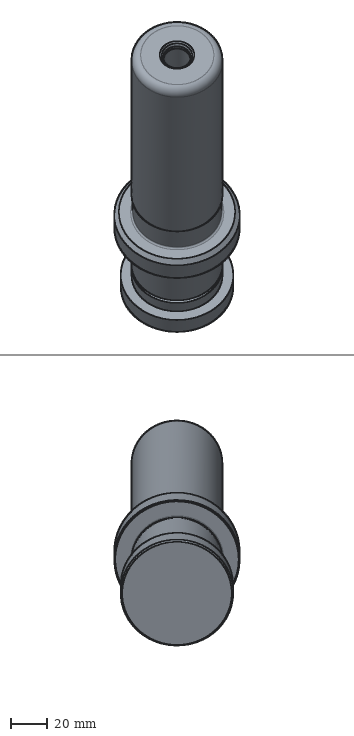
import cadquery as cq
import math

total_height = 215.0

cap_height = 20.0
cap_flange_height = 12.3
cap_flange_radius = 31.0
cap_chamfer_height = 1.3
cap_chamfer_width = 0.9

pillar_diameter = 50.0
pillar_radius = pillar_diameter / 2
foot_chamfer = 2.4
collar_diameter = 69.0
collar_radius = collar_diameter / 2
collar_bottom_z = 55.0
collar_top_z = 70.0
collar_top_chamfer = 2.5
collar_bottom_chamfer = 0.6
neck_radius = 24.5
neck_top_z = 85.4
neck_fillet = 1.0
shaft_edge_chamfer = pillar_radius - neck_radius
tip_fillet = 5.0

hole_radius = 7.3
hole_depth = 32.2
drill_half_angle = math.radians(59)
lead_in_radius = 7.5
lead_in_depth = 4.0
countersink_radius = 8.4
countersink_depth = 2.2
rim_radius = 9.5
rim_depth = 0.6


def make_base_cap():
    """Stepped disc with a chamfered bottom edge."""
    return (
        cq.Workplane("XZ")
        .moveTo(0, 0)
        .lineTo(cap_flange_radius - cap_chamfer_width, 0)
        .lineTo(cap_flange_radius, cap_chamfer_height)
        .lineTo(cap_flange_radius, cap_flange_height)
        .lineTo(pillar_radius, cap_flange_height)
        .lineTo(pillar_radius, cap_height)
        .lineTo(0, cap_height)
        .close()
        .revolve(360, (0, 0, 0), (0, 1, 0))
    )


def make_pillar_blank():
    """Pillar with its collar, neck and rounded tip, before the hole is cut."""
    arc_mid_factor = 1 - math.sin(math.pi / 4)
    tip_arc_drop = tip_fillet * arc_mid_factor
    fillet_mid = neck_fillet * arc_mid_factor
    return (
        cq.Workplane("XZ")
        .moveTo(0, cap_height)
        .lineTo(pillar_radius - foot_chamfer, cap_height)
        .lineTo(pillar_radius, cap_height + foot_chamfer)
        .lineTo(pillar_radius, collar_bottom_z - neck_fillet)
        .lineTo(neck_radius, collar_bottom_z - neck_fillet)
        .threePointArc(
            (neck_radius + fillet_mid, collar_bottom_z - fillet_mid),
            (neck_radius + neck_fillet, collar_bottom_z),
        )
        .lineTo(collar_radius - collar_bottom_chamfer, collar_bottom_z)
        .lineTo(collar_radius, collar_bottom_z + collar_bottom_chamfer)
        .lineTo(collar_radius, collar_top_z - collar_top_chamfer)
        .lineTo(collar_radius - collar_top_chamfer, collar_top_z)
        .lineTo(neck_radius + neck_fillet, collar_top_z)
        .threePointArc(
            (neck_radius + fillet_mid, collar_top_z + fillet_mid),
            (neck_radius, collar_top_z + neck_fillet),
        )
        .lineTo(neck_radius, neck_top_z)
        .lineTo(pillar_radius, neck_top_z + shaft_edge_chamfer)
        .lineTo(pillar_radius, total_height - tip_fillet)
        .threePointArc(
            (pillar_radius - tip_arc_drop, total_height - tip_arc_drop),
            (pillar_radius - tip_fillet, total_height),
        )
        .lineTo(0, total_height)
        .close()
        .revolve(360, (0, 0, 0), (0, 1, 0))
    )


def make_tip_hole():
    """Blind hole with a stepped mouth, bevelled countersink and conical drill point."""
    hole_bottom_z = total_height - hole_depth
    drill_point_height = hole_radius / math.tan(drill_half_angle)
    return (
        cq.Workplane("XZ")
        .moveTo(0, hole_bottom_z - drill_point_height)
        .lineTo(hole_radius, hole_bottom_z)
        .lineTo(hole_radius, total_height - lead_in_depth)
        .lineTo(lead_in_radius, total_height - lead_in_depth)
        .lineTo(lead_in_radius, total_height - countersink_depth)
        .lineTo(countersink_radius, total_height - rim_depth)
        .lineTo(rim_radius, total_height)
        .lineTo(0, total_height)
        .close()
        .revolve(360, (0, 0, 0), (0, 1, 0))
    )


base_cap = make_base_cap()
pillar = make_pillar_blank().cut(make_tip_hole())

result = cq.Compound.makeCompound([base_cap.val(), pillar.val()])